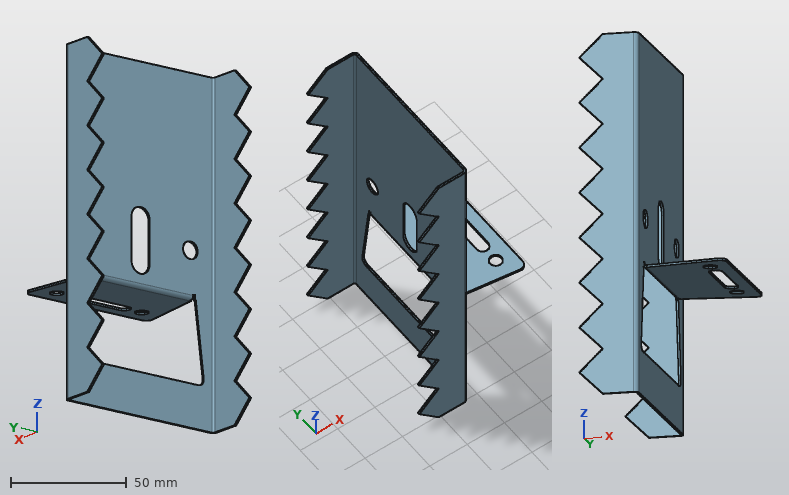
import cadquery as cq

height = 160.0
width = 82.0
depth = 63.0
flange_depth = 26.0
sheet = 1.0
bend_inner = sheet
bend_outer = bend_inner + sheet
tooth_count = 8
tooth_depth = 10.4

web_hole_diameter = 8.0
web_hole_spacing = 54.7
web_slot_width = 10.0
web_slot_length = 30.0
web_slot_z = 79.4

tab_bottom = 58.0
tab_root_width = 58.7
tab_end_width = 68.2
window_top_width = 60.8
window_bottom_width = 70.4
window_bottom = 20.0
corner_radius = 3.0
relief_outer_width = 59.8
relief_inner_width = 58.0
relief_top = 60.3

tab_hole_diameter = 6.0
tab_hole_spacing = 46.7
tab_hole_inset = 9.1
tab_slot_length = 33.3


def make_channel():
    """Folded U-shaped sheet, open towards -X."""
    outer = (
        cq.Workplane("XY")
        .box(flange_depth, width, height, centered=(False, True, False))
        .edges("|Z and >X").fillet(bend_outer)
    )
    inner = (
        cq.Workplane("XY")
        .box(flange_depth - sheet, width - 2 * sheet, height, centered=(False, True, False))
        .edges("|Z and >X").fillet(bend_inner)
    )
    return outer.cut(inner)


def make_tooth_cutter():
    """Material removed in front of the zigzag edge of both flanges."""
    pitch = height / tooth_count
    cutter = cq.Workplane("XZ")
    for index in range(tooth_count):
        lower_root = index * pitch
        upper_root = lower_root + pitch
        tip = (0, lower_root + pitch / 2)
        cutter = cutter.polyline([(0, lower_root), (tooth_depth, lower_root), tip]).close()
        cutter = cutter.polyline([tip, (tooth_depth, upper_root), (0, upper_root)]).close()
    return cutter.extrude(width / 2, both=True)


def make_web_cutter():
    """Two round holes, the upright slot, the window and the bend reliefs."""
    web_plane = cq.Workplane("YZ")
    holes = (
        web_plane.pushPoints([(-web_hole_spacing / 2, height / 2), (web_hole_spacing / 2, height / 2)])
        .circle(web_hole_diameter / 2).extrude(depth)
    )
    slot = web_plane.center(0, web_slot_z).slot2D(web_slot_length, web_slot_width, 90).extrude(depth)
    window = (
        web_plane.polyline([
            (-window_top_width / 2, tab_bottom),
            (window_top_width / 2, tab_bottom),
            (window_bottom_width / 2, window_bottom),
            (-window_bottom_width / 2, window_bottom),
        ]).close().extrude(depth)
        .edges("|X and <Z").fillet(corner_radius)
    )
    bend_opening = (
        web_plane.center(0, tab_bottom)
        .rect(relief_inner_width, 2 * bend_outer).extrude(depth)
    )
    relief_width = (relief_outer_width - relief_inner_width) / 2
    relief_y = (relief_outer_width + relief_inner_width) / 4
    reliefs = (
        web_plane.pushPoints([(-relief_y, tab_bottom), (relief_y, tab_bottom)])
        .rect(relief_width, 2 * (relief_top - tab_bottom)).extrude(depth)
    )
    return holes.union(slot).union(window).union(bend_opening).union(reliefs)


def make_tab():
    """Quarter-round bend out of the web followed by the flat tapered plate."""
    web_inner_x = flange_depth - sheet
    bend_x = web_inner_x + bend_outer
    bend_z = tab_bottom + bend_outer
    bend = (
        cq.Workplane("XZ")
        .moveTo(web_inner_x, bend_z)
        .radiusArc((bend_x, tab_bottom), -bend_outer)
        .lineTo(bend_x, tab_bottom + sheet)
        .radiusArc((flange_depth, bend_z), bend_inner)
        .close()
        .extrude(relief_inner_width / 2, both=True)
    )
    plate = (
        cq.Workplane("XY").workplane(offset=tab_bottom)
        .polyline([
            (bend_x, -tab_root_width / 2),
            (depth, -tab_end_width / 2),
            (depth, tab_end_width / 2),
            (bend_x, tab_root_width / 2),
        ]).close().extrude(sheet)
        .edges("|Z and >X").fillet(corner_radius)
    )
    hole_plane = cq.Workplane("XY").workplane(offset=tab_bottom).center(depth - tab_hole_inset, 0)
    holes = (
        hole_plane.pushPoints([(0, -tab_hole_spacing / 2), (0, tab_hole_spacing / 2)])
        .circle(tab_hole_diameter / 2).extrude(sheet)
    )
    slot = hole_plane.slot2D(tab_slot_length, tab_hole_diameter, 90).extrude(sheet)
    return bend.union(plate.cut(holes).cut(slot))


result = make_channel().cut(make_tooth_cutter()).cut(make_web_cutter()).union(make_tab())